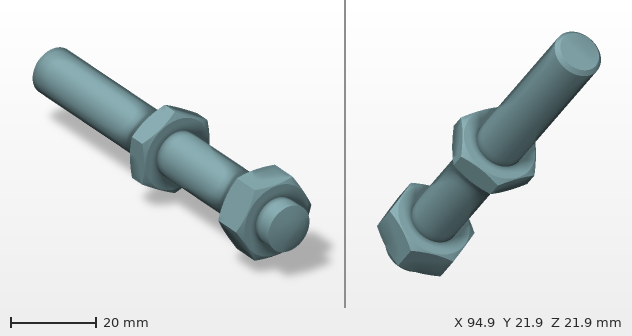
import math

import cadquery as cq

rod_diameter = 12.0
rod_straight_end = 94.0
overall_length = 94.95
rod_chamfer = 1.0

hexagon_sides = 6
across_flats = 19.0
face_circle_diameter = 18.5
corner_chamfer_angle = 30.0

thin_nut_start = 44.0
thin_nut_height = 6.0
thick_nut_start = 80.0
thick_nut_height = 9.0

rod_radius = rod_diameter / 2
half_side_angle = 180 / hexagon_sides
across_corners = across_flats / math.cos(math.radians(half_side_angle))
dome_height = overall_length - rod_straight_end
dome_radius = (rod_radius**2 + dome_height**2) / (2 * dome_height)


def make_rod():
    """Revolve the rod: chamfered at the start, with a spherical dome at the far end."""
    arc_mid_angle = math.asin(rod_radius / dome_radius) / 2
    arc_mid_x = overall_length - dome_radius * (1 - math.cos(arc_mid_angle))
    arc_mid_radius = dome_radius * math.sin(arc_mid_angle)
    return (
        cq.Workplane("XY")
        .moveTo(0, 0)
        .lineTo(0, rod_radius - rod_chamfer)
        .lineTo(rod_chamfer, rod_radius)
        .lineTo(rod_straight_end, rod_radius)
        .threePointArc((arc_mid_x, arc_mid_radius), (overall_length, 0))
        .close()
        .revolve(360, (0, 0, 0), (1, 0, 0))
    )


def make_nut(start, height, turn):
    """Hexagon along X with conically chamfered corners on both faces.

    A turn of 0 puts two corners on the Y axis; 30 degrees puts two on the Z axis.
    """
    hexagon = (
        cq.Workplane("YZ")
        .polygon(hexagon_sides, across_corners)
        .extrude(height)
        .rotate((0, 0, 0), (1, 0, 0), turn)
    )
    face_radius = face_circle_diameter / 2
    corner_radius = across_corners / 2
    chamfer_depth = (corner_radius - face_radius) * math.tan(math.radians(corner_chamfer_angle))
    chamfer_envelope = (
        cq.Workplane("XY")
        .moveTo(0, 0)
        .lineTo(0, face_radius)
        .lineTo(chamfer_depth, corner_radius)
        .lineTo(height - chamfer_depth, corner_radius)
        .lineTo(height, face_radius)
        .lineTo(height, 0)
        .close()
        .revolve(360, (0, 0, 0), (1, 0, 0))
    )
    return hexagon.intersect(chamfer_envelope).translate((start, 0, 0))


thin_nut = make_nut(thin_nut_start, thin_nut_height, turn=half_side_angle)
thick_nut = make_nut(thick_nut_start, thick_nut_height, turn=0)

result = make_rod().union(thin_nut).union(thick_nut)